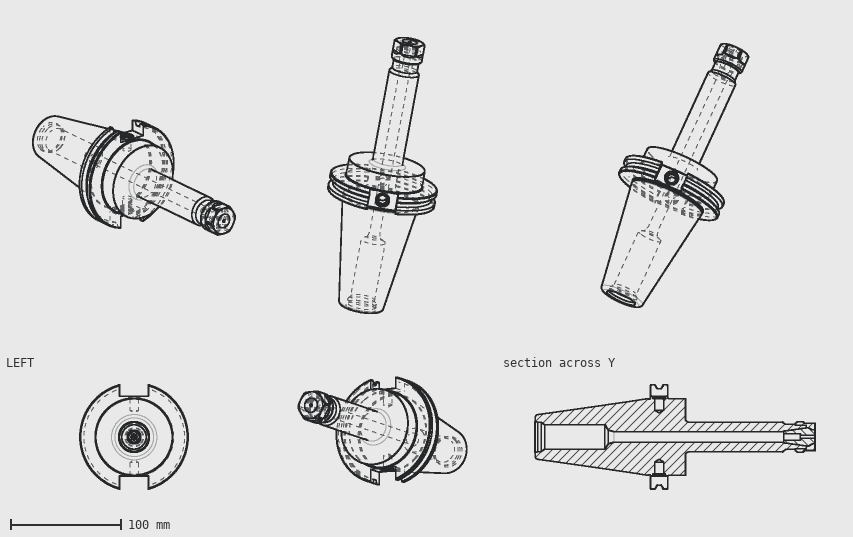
import cadquery as cq
import math


TOTAL_LENGTH = 254.0
TAPER_END = 101.5
FLANGE_START = 104.6
FLANGE_END = 120.6
BODY_END = 136.7
SHANK_END = 224.5
NECK_START = 227.5
NUT_START = 236.2
SPIGOT_END = 246.5

TAPER_SMALL_DIA = 40.5
TAPER_END_FILLET = 3.0
BODY_DIA = 69.8
BODY_CHAMFER = 0.3
FLANGE_ROOT_BEVEL = 0.8
FLANGE_DIA = 98.3
FLANGE_CHAMFER = 0.8
RELIEF_DIA = 69.0
RELIEF_START = 102.5
SHANK_DIA = 27.5
SHANK_ROOT_FILLET = 3.0
NECK_DIA = 23.0
SPIGOT_DIA = 22.0

FLANGE_MIDDLE = (FLANGE_START + FLANGE_END) / 2
GROOVE_DIA = 91.5
GROOVE_FLOOR_WIDTH = 3.5
GROOVE_TOP_WIDTH = 7.5

SLOT_WIDTH = 26.0
UPPER_SLOT_HEIGHT = 37.0
LOWER_SLOT_HEIGHT = 35.5
SCREW_HOLE_DIA = 11.0
SCREW_HOLE_MOUTH_DIA = 12.7
SCREW_HOLE_DEPTH = 2.0
COOLANT_DRILL_DIA = 8.0
COOLANT_MOUTH_DIA = 8.6
COOLANT_DRILL_DEPTH = 12.7
DRILL_HALF_ANGLE = math.radians(59)

MOUTH_DIA = 28.0
PILOT_DIA = 26.5
THREAD_BORE_DIA = 22.0
THREAD_BORE_END = 63.5
FUNNEL_DIA = 12.5
CHANNEL_DIA = 9.5
MOUTH_DEPTH = 2.3
PILOT_END = 5.5
PILOT_CONE_END = 8.6
FUNNEL_LENGTH = 5.0

COLLET_BACK_DIA = 10.2
COLLET_SEAT_DIA = 16.0
COLLET_HEAD_DIA = 17.0
COLLET_FRONT_DIA = 13.2
COLLET_BACK = 225.5
COLLET_HEAD_START = 246.5
COLLET_HEAD_END = 248.5
COLLET_FRONT_CONE_END = 251.7
COLLET_BORE_DIA = 2.3
COLLET_RELIEF_DIA = 5.5
COLLET_RELIEF_DEPTH = 15.2

NUT_DIA = 28.0
NUT_BACK_CHAMFER = 1.5
NUT_FRONT_DIA = 24.6
NUT_FRONT_CHAMFER = 1.0
FLAT_COUNT = 6
ACROSS_FLATS = 25.0
FLAT_START = 244.5
LONG_FLAT_START = 242.8
LONG_FLAT_INDEX = 5
FLAT_RAMP_SLOPE = 1.0


def turned(points):
    """Solid of revolution about X from (station, diameter) points, closed along the axis."""
    outline = [(station, diameter / 2) for station, diameter in points]
    outline = [(outline[0][0], 0)] + outline + [(outline[-1][0], 0)]
    profile = cq.Workplane("XY").polyline(outline).close()
    return profile.revolve(360, (0, 0, 0), (1, 0, 0))


def holder_outside():
    taper = turned([(0, TAPER_SMALL_DIA), (TAPER_END, BODY_DIA)])
    taper = taper.faces("<X").edges().fillet(TAPER_END_FILLET)
    root_dia = SHANK_DIA + 2 * SHANK_ROOT_FILLET
    shaft = turned([
        (TAPER_END, BODY_DIA),
        (RELIEF_START, BODY_DIA),
        (RELIEF_START, RELIEF_DIA),
        (FLANGE_START - FLANGE_ROOT_BEVEL, RELIEF_DIA),
        (FLANGE_START, RELIEF_DIA + 2 * FLANGE_ROOT_BEVEL),
        (FLANGE_END, BODY_DIA + 2 * FLANGE_ROOT_BEVEL),
        (FLANGE_END + FLANGE_ROOT_BEVEL, BODY_DIA),
        (BODY_END - BODY_CHAMFER, BODY_DIA),
        (BODY_END, BODY_DIA - 2 * BODY_CHAMFER),
        (BODY_END, SHANK_DIA),
        (SHANK_END, SHANK_DIA),
        (NECK_START, NECK_DIA),
        (NUT_START, NECK_DIA),
        (NUT_START, SPIGOT_DIA),
        (SPIGOT_END, SPIGOT_DIA),
    ])
    root = (
        cq.Workplane("XY")
        .moveTo(BODY_END, 0)
        .lineTo(BODY_END, root_dia / 2)
        .radiusArc((BODY_END + SHANK_ROOT_FILLET, SHANK_DIA / 2), -SHANK_ROOT_FILLET)
        .lineTo(BODY_END + SHANK_ROOT_FILLET, 0)
        .close()
        .revolve(360, (0, 0, 0), (1, 0, 0))
    )
    return taper.union(shaft).union(root)


def flange():
    edge_dia = FLANGE_DIA - 2 * FLANGE_CHAMFER
    return turned([
        (FLANGE_START, edge_dia),
        (FLANGE_START + FLANGE_CHAMFER, FLANGE_DIA),
        (FLANGE_MIDDLE - GROOVE_TOP_WIDTH / 2, FLANGE_DIA),
        (FLANGE_MIDDLE - GROOVE_FLOOR_WIDTH / 2, GROOVE_DIA),
        (FLANGE_MIDDLE + GROOVE_FLOOR_WIDTH / 2, GROOVE_DIA),
        (FLANGE_MIDDLE + GROOVE_TOP_WIDTH / 2, FLANGE_DIA),
        (FLANGE_END - FLANGE_CHAMFER, FLANGE_DIA),
        (FLANGE_END, edge_dia),
    ])


def drive_slot(floor_height):
    """Slot above the given height, with its stepped hole going down from the floor."""
    slot = cq.Workplane("XY").box(
        FLANGE_END - FLANGE_START, SLOT_WIDTH, FLANGE_DIA / 2, centered=(True, True, False)
    )
    mouth_depth = (SCREW_HOLE_MOUTH_DIA - SCREW_HOLE_DIA) / 2
    drill_start = SCREW_HOLE_DEPTH + (COOLANT_MOUTH_DIA - COOLANT_DRILL_DIA) / 2
    tip_depth = COOLANT_DRILL_DEPTH + COOLANT_DRILL_DIA / 2 / math.tan(DRILL_HALF_ANGLE)
    hole = (
        cq.Workplane("XZ")
        .polyline([
            (0, 0),
            (SCREW_HOLE_MOUTH_DIA / 2, 0),
            (SCREW_HOLE_DIA / 2, -mouth_depth),
            (SCREW_HOLE_DIA / 2, -SCREW_HOLE_DEPTH),
            (COOLANT_MOUTH_DIA / 2, -SCREW_HOLE_DEPTH),
            (COOLANT_DRILL_DIA / 2, -drill_start),
            (COOLANT_DRILL_DIA / 2, -COOLANT_DRILL_DEPTH),
            (0, -tip_depth),
        ])
        .close()
        .revolve(360, (0, 0, 0), (0, 1, 0))
    )
    return slot.union(hole).translate((FLANGE_MIDDLE, 0, floor_height))


def holder_bore():
    drill_cone = (THREAD_BORE_DIA - FUNNEL_DIA) / 2 / math.tan(DRILL_HALF_ANGLE)
    funnel_start = THREAD_BORE_END + drill_cone
    return turned([
        (0, MOUTH_DIA),
        (MOUTH_DEPTH, PILOT_DIA),
        (PILOT_END, PILOT_DIA),
        (PILOT_CONE_END, THREAD_BORE_DIA),
        (THREAD_BORE_END, THREAD_BORE_DIA),
        (funnel_start, FUNNEL_DIA),
        (funnel_start + FUNNEL_LENGTH, CHANNEL_DIA),
        (COLLET_BACK, CHANNEL_DIA),
    ])


def collet_outside():
    return turned([
        (COLLET_BACK, COLLET_BACK_DIA),
        (COLLET_HEAD_START, COLLET_SEAT_DIA),
        (COLLET_HEAD_START, COLLET_HEAD_DIA),
        (COLLET_HEAD_END, COLLET_HEAD_DIA),
        (COLLET_FRONT_CONE_END, COLLET_FRONT_DIA),
        (TOTAL_LENGTH, COLLET_FRONT_DIA),
    ])


def make_holder():
    holder = holder_outside().union(flange())
    holder = holder.cut(drive_slot(UPPER_SLOT_HEIGHT))
    holder = holder.cut(drive_slot(LOWER_SLOT_HEIGHT).rotate((0, 0, 0), (1, 0, 0), 180))
    return holder.cut(holder_bore()).cut(collet_outside())


def make_collet():
    relief_end = COLLET_BACK + COLLET_RELIEF_DEPTH
    bore = turned([
        (COLLET_BACK, COLLET_RELIEF_DIA),
        (relief_end, COLLET_RELIEF_DIA),
        (relief_end, COLLET_BORE_DIA),
        (TOTAL_LENGTH, COLLET_BORE_DIA),
    ])
    return collet_outside().cut(bore)


def flat_cutter(start):
    """Prism that mills the upper flat of the nut from the given station, where a ramp closes it."""
    flat_height = ACROSS_FLATS / 2
    rise = NUT_DIA / 2
    return (
        cq.Workplane("XZ")
        .polyline([
            (start, flat_height),
            (start - rise * FLAT_RAMP_SLOPE, flat_height + rise),
            (TOTAL_LENGTH, flat_height + rise),
            (TOTAL_LENGTH, flat_height),
        ])
        .close()
        .extrude(NUT_DIA / 2, both=True)
    )


def make_nut():
    nut = turned([
        (NUT_START, NUT_DIA - 2 * NUT_BACK_CHAMFER),
        (NUT_START + NUT_BACK_CHAMFER, NUT_DIA),
        (TOTAL_LENGTH - NUT_FRONT_CHAMFER, NUT_DIA),
        (TOTAL_LENGTH, NUT_FRONT_DIA),
    ])
    for index in range(FLAT_COUNT):
        angle = index * 360 / FLAT_COUNT
        start = LONG_FLAT_START if index == LONG_FLAT_INDEX else FLAT_START
        nut = nut.cut(flat_cutter(start).rotate((0, 0, 0), (1, 0, 0), angle))
    spigot_bore = turned([(NUT_START, SPIGOT_DIA), (SPIGOT_END, SPIGOT_DIA)])
    return nut.cut(spigot_bore).cut(collet_outside())


holder = make_holder()
collet = make_collet()
nut = make_nut()

result = cq.Compound.makeCompound([holder.val(), collet.val(), nut.val()])